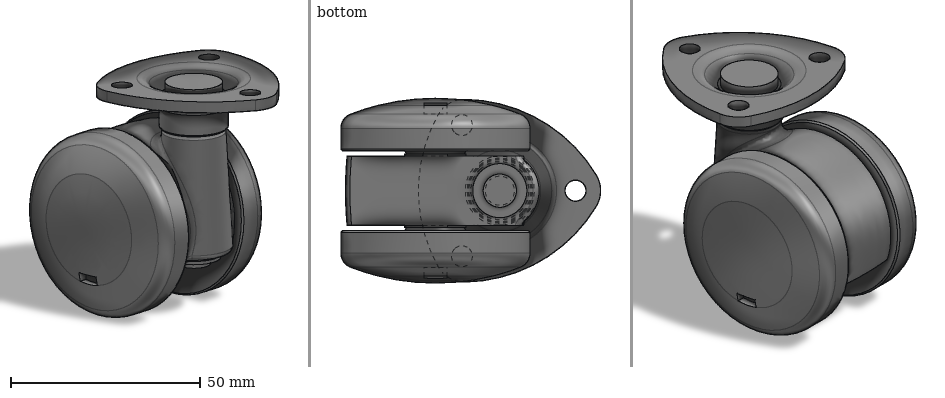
import cadquery as cq
import math


wheel_radius = 25.0
wheel_inner_y = 10.5
overall_width = 48.8
wheel_apex_y = overall_width / 2
wheel_tread_y = 16.5
wheel_shoulder_radius = 4.0
wheel_edge_chamfer = 0.5
cap_radius = 15.1
notch_width = 6.05
notch_height = 2.75
notch_floor_y = 20.25
hub_radius = 8.0
hub_tip_radius = 7.7

drum_half_width = 9.1
drum_edge_radius = 23.35
drum_crown_radius = 23.75
yoke_bottom_z = -7.4
boss_radius = 8.1
boss_height = 0.55
neck_top_z = 26.4
neck_top_radius = 8.5
neck_bottom_radius = 10.45
neck_bottom_fillet = 1.5
neck_rim_height = 0.95
neck_rim_inset = 0.35
neck_drum_fillet = 2.35

swivel_x = 17.0
plate_top_z = 40.0
plate_thickness = 3.0
plate_corner_radius = 7.95
plate_corner_distance = 18.7
plate_side_distance = 21.5
hole_radius = 2.75
hole_circle_radius = 20.0
corner_count = 3
corner_step = 360 / corner_count
dish_depth = 4.0
dish_top_radius = 13.2
dish_floor_radius = 8.4
dish_bend_radius = 5.0
dish_bottom_fillet = 4.8
pin_head_radius = 7.6
pin_head_drop = 0.9
collar_radius = 9.1
collar_chamfer = 0.515
pin_radius = 4.4
pin_bottom_z = -11.0

groove_radius = 3.85
groove_top_z = -8.3
groove_height = 1.2
ring_radius = 7.15
ring_thickness = 0.9

pick_margin = 0.1


def cylinder_z(radius, bottom_z, top_z):
    """Vertical cylinder on the swivel axis."""
    base = cq.Workplane("XY", origin=(swivel_x, 0, bottom_z))
    return base.circle(radius).extrude(top_z - bottom_z)


def cone_z(bottom_radius, top_radius, bottom_z, top_z):
    """Vertical cone frustum on the swivel axis."""
    cone = cq.Solid.makeCone(
        bottom_radius, top_radius, top_z - bottom_z, cq.Vector(swivel_x, 0, bottom_z)
    )
    return cq.Workplane(obj=cone)


def cylinder_y(radius, start_y, end_y):
    """Cylinder on the wheel axis."""
    return cq.Workplane("XZ", origin=(0, end_y, 0)).circle(radius).extrude(end_y - start_y)


def make_wheel():
    """Wheel on the +Y side: domed disc with a short tapered hub and a pry notch."""
    shoulder_centre_r = wheel_radius - wheel_shoulder_radius
    bulge = wheel_apex_y - wheel_tread_y
    dome_radius = (shoulder_centre_r**2 + bulge**2 - wheel_shoulder_radius**2) / (
        2 * (bulge - wheel_shoulder_radius)
    )
    dome_centre_y = wheel_apex_y - dome_radius

    def on_dome(radius):
        return (radius, dome_centre_y + math.sqrt(dome_radius**2 - radius**2))

    def on_shoulder(angle):
        return (
            shoulder_centre_r + wheel_shoulder_radius * math.cos(angle),
            wheel_tread_y + wheel_shoulder_radius * math.sin(angle),
        )

    tangent_angle = math.atan2(wheel_tread_y - dome_centre_y, shoulder_centre_r)
    shoulder_end = on_shoulder(tangent_angle)
    wheel = (
        cq.Workplane("XY")
        .moveTo(0, drum_half_width + boss_height)
        .lineTo(hub_tip_radius, drum_half_width + boss_height)
        .lineTo(hub_radius, wheel_inner_y)
        .lineTo(wheel_radius - wheel_edge_chamfer, wheel_inner_y)
        .lineTo(wheel_radius, wheel_inner_y + wheel_edge_chamfer)
        .lineTo(wheel_radius, wheel_tread_y)
        .threePointArc(on_shoulder(tangent_angle / 2), shoulder_end)
        .threePointArc(on_dome((shoulder_end[0] + cap_radius) / 2), on_dome(cap_radius))
        .threePointArc(on_dome(cap_radius / 2), (0, wheel_apex_y))
        .close()
        .revolve(360, (0, 0), (0, 1), clean=False)
    )
    notch = (
        cq.Workplane("XY", origin=(0, notch_floor_y, -cap_radius))
        .box(notch_width, wheel_apex_y - notch_floor_y, notch_height, (True, False, False))
        .intersect(cylinder_y(cap_radius, notch_floor_y, wheel_apex_y))
    )
    return wheel.cut(notch, clean=False)


def make_yoke():
    """Drum between the wheels, with the flared neck that turns on the pin."""
    slab_size = 2 * (swivel_x + wheel_radius)

    def slab(half_width):
        return cq.Workplane("XY", origin=(0, 0, yoke_bottom_z)).box(
            slab_size, 2 * half_width, slab_size, (True, True, False)
        )

    rough_half_width = drum_half_width + 2 * neck_drum_fillet
    crown_drop = drum_crown_radius - drum_edge_radius
    crown_arc_radius = (drum_half_width**2 + crown_drop**2) / (2 * crown_drop)
    rough_edge_radius = (
        drum_crown_radius - crown_arc_radius + math.sqrt(crown_arc_radius**2 - rough_half_width**2)
    )
    barrel = (
        cq.Workplane("XY")
        .moveTo(0, -rough_half_width)
        .lineTo(rough_edge_radius, -rough_half_width)
        .threePointArc((drum_crown_radius, 0), (rough_edge_radius, rough_half_width))
        .lineTo(0, rough_half_width)
        .close()
        .revolve(360, (0, 0), (0, 1))
        .intersect(slab(rough_half_width))
    )
    rim_bottom_z = neck_top_z - neck_rim_height
    neck = cone_z(neck_bottom_radius, neck_top_radius, yoke_bottom_z, rim_bottom_z)
    body = barrel.union(neck)
    seam_edge = cq.selectors.BoxSelector(
        (0, -neck_top_radius, 0), (swivel_x + neck_top_radius / 2, neck_top_radius, drum_edge_radius)
    )
    body = body.edges(seam_edge).fillet(neck_drum_fillet)
    body = body.intersect(slab(drum_half_width))
    bottom_edge = cq.selectors.BoxSelector(
        (swivel_x + neck_top_radius, -neck_top_radius, yoke_bottom_z - pick_margin),
        (swivel_x + neck_bottom_radius, neck_top_radius, yoke_bottom_z + pick_margin),
    )
    body = body.edges(bottom_edge).fillet(neck_bottom_fillet)
    rim = cone_z(neck_top_radius, neck_top_radius - neck_rim_inset, rim_bottom_z, neck_top_z)
    boss_y = drum_half_width + boss_height
    bosses = cylinder_y(boss_radius, -boss_y, boss_y).intersect(slab(boss_y))
    bore = cylinder_z(pin_radius, yoke_bottom_z, neck_top_z)
    return body.union(rim).union(bosses).cut(bore)


def make_plate_outline():
    """Rounded triangle: three corner arcs joined by tangent side arcs."""
    reach = plate_side_distance - plate_corner_radius
    side_centre = (reach**2 - plate_corner_distance**2) / (plate_corner_distance - 2 * reach)

    def polar(radius, angle):
        return (radius * math.cos(math.radians(angle)), radius * math.sin(math.radians(angle)))

    half_step = math.radians(corner_step / 2)
    turn = math.degrees(
        math.atan2(
            side_centre * math.sin(half_step),
            plate_corner_distance + side_centre * math.cos(half_step),
        )
    )

    def on_corner(corner_angle, offset):
        cx, cy = polar(plate_corner_distance, corner_angle)
        dx, dy = polar(plate_corner_radius, corner_angle + offset)
        return (cx + dx, cy + dy)

    outline = cq.Workplane("XY", origin=(swivel_x, 0, plate_top_z)).moveTo(*on_corner(0, -turn))
    for corner in range(corner_count):
        angle = corner * corner_step
        outline = outline.threePointArc(on_corner(angle, 0), on_corner(angle, turn))
        side_middle = polar(plate_side_distance, angle + corner_step / 2)
        outline = outline.threePointArc(side_middle, on_corner(angle + corner_step, -turn))
    return outline.close()


def swivel_circles_at(height):
    """Selector for the edges centred on the swivel axis at one height."""
    return cq.selectors.BoxSelector(
        (swivel_x - pick_margin, -pick_margin, height - pick_margin),
        (swivel_x + pick_margin, pick_margin, height + pick_margin),
    )


def make_plate():
    """Triangular plate with a pressed dish, welded to the flanged swivel pin."""
    plate_bottom_z = plate_top_z - plate_thickness
    dish_floor_z = plate_top_z - dish_depth
    dish_bottom_z = dish_floor_z - plate_thickness
    dish_angle = math.atan2(dish_depth, dish_top_radius - dish_floor_radius)
    sheet_shift = plate_thickness * math.tan(dish_angle / 2)

    plate = make_plate_outline().extrude(-plate_thickness)
    dish_outside = cone_z(
        dish_floor_radius + sheet_shift, dish_top_radius + sheet_shift, dish_bottom_z, plate_bottom_z
    )
    dish_outside = dish_outside.faces("<Z").edges().fillet(dish_bottom_fillet)
    plate = plate.union(dish_outside)
    plate = plate.edges(swivel_circles_at(plate_bottom_z)).fillet(dish_bend_radius - plate_thickness)
    plate = plate.cut(cone_z(dish_floor_radius, dish_top_radius, dish_floor_z, plate_top_z))
    plate = plate.edges(swivel_circles_at(plate_top_z)).fillet(dish_bend_radius)
    holes = (
        cq.Workplane("XY", origin=(swivel_x, 0, plate_bottom_z))
        .polarArray(hole_circle_radius, 0, 360, corner_count)
        .circle(hole_radius)
        .extrude(plate_thickness)
    )
    head = cylinder_z(pin_head_radius, neck_top_z, plate_top_z - pin_head_drop)
    collar = cylinder_z(collar_radius, neck_top_z, dish_bottom_z).edges().chamfer(collar_chamfer)
    shank = cylinder_z(pin_radius, pin_bottom_z, neck_top_z)
    groove_bottom_z = groove_top_z - groove_height
    groove = cylinder_z(pin_radius, groove_bottom_z, groove_top_z).cut(
        cylinder_z(groove_radius, groove_bottom_z, groove_top_z)
    )
    return plate.cut(holes).union(head).union(collar).union(shank.cut(groove))


def make_retaining_ring():
    """Flat ring in the pin groove, under the yoke."""
    bottom_z = groove_top_z - ring_thickness
    ring = cylinder_z(ring_radius, bottom_z, groove_top_z)
    return ring.cut(cylinder_z(groove_radius, bottom_z, groove_top_z))


plate = make_plate()
yoke = make_yoke()
retaining_ring = make_retaining_ring()
wheel = make_wheel()
wheels = [wheel.val(), wheel.mirror("XZ").val()]

result = cq.Compound.makeCompound([plate.val(), yoke.val(), retaining_ring.val(), *wheels])